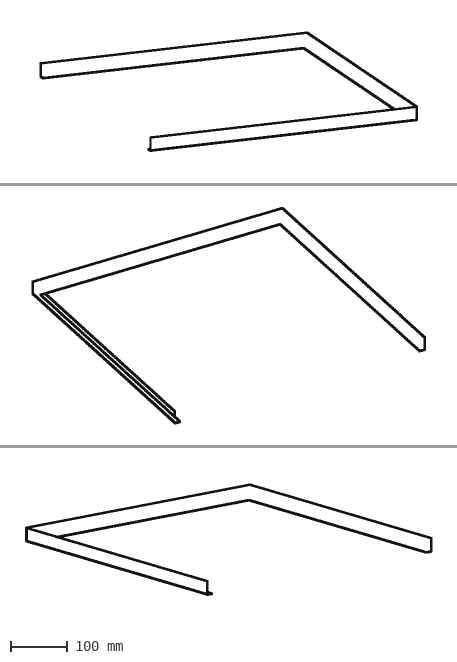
import cadquery as cq

side = 510.0
height = 25.0
thickness = 1.0
flange_width = 11.0
bend_radius = 2.0
inner_radius = bend_radius - thickness


def u_block(inset, bottom, top, radius):
    """Solid plate inset from the left, right and back faces, with rounded back corners."""
    width = side - 2 * inset
    depth = side - inset
    plate = cq.Workplane("XY").box(width, depth, top - bottom, centered=(True, False, False))
    plate = plate.translate((0, -side / 2, bottom))
    return plate.edges("|Z and >Y").fillet(radius)


def round_bottom(block, radius):
    """Round the bottom edge along both sides and the back, leaving the front edge sharp."""
    return block.faces("<Z").edges("not <Y").fillet(radius)


outer = round_bottom(u_block(0, 0, height, bend_radius), bend_radius)
cavity = round_bottom(u_block(thickness, thickness, height, inner_radius), inner_radius)

opening_width = side - 2 * flange_width
opening_depth = side - flange_width
opening = (
    cq.Workplane("XY")
    .box(opening_width, opening_depth, height, centered=(True, False, False))
    .translate((0, -side / 2, 0))
)

result = outer.cut(cavity).cut(opening)